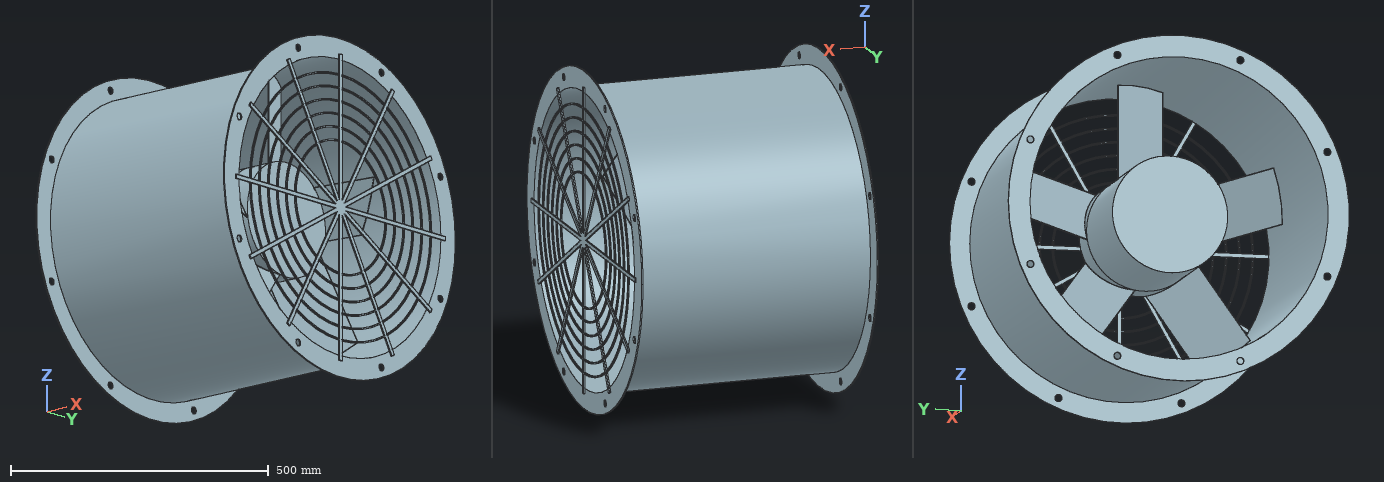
import cadquery as cq
import math


flange_radius = 340.0
casing_radius = 300.0
sheet_thickness = 3.0
casing_length = 485.5
bolt_circle_radius = 320.0
bolt_hole_diameter = 13.5
bolt_count = 8

motor_radius = 115.0
motor_inlet_gap = 73.5

blade_count = 5
blade_front_width = 104.0
blade_pitch = 30.0
blade_thickness = 2.0
blade_tip_radius = 293.0
impeller_start = 285.5

spoke_count = 12
spoke_width = 8.0
spoke_radius = 307.5
guard_thickness = 3.0
ring_count = 6
outer_ring_radius = 266.0
ring_spacing = 26.5
ring_width = 3.0

bore_radius = casing_radius - sheet_thickness
blade_chord = blade_front_width / math.cos(math.radians(blade_pitch))
impeller_depth = blade_chord * math.sin(math.radians(blade_pitch)) + blade_thickness
motor_length = impeller_start - motor_inlet_gap


def disc(start, length, radius):
    """Solid cylinder on the fan axis."""
    return cq.Workplane("YZ", origin=(start, 0, 0)).circle(radius).extrude(length)


def ring(start, length, outer_radius, inner_radius):
    """Flat ring or tube on the fan axis."""
    return cq.Workplane("YZ", origin=(start, 0, 0)).circle(outer_radius).circle(inner_radius).extrude(length)


def make_casing():
    """Sheet tube with a drilled flange at each end."""
    casing = ring(0, casing_length, casing_radius, bore_radius)
    for flange_start in (0, casing_length - sheet_thickness):
        casing = casing.union(ring(flange_start, sheet_thickness, flange_radius, bore_radius))
    half_step = 180 / bolt_count
    bolt_holes = (
        cq.Workplane("YZ")
        .polarArray(bolt_circle_radius, half_step, 360, bolt_count)
        .circle(bolt_hole_diameter / 2)
        .extrude(casing_length)
    )
    return casing.cut(bolt_holes)


def make_motor():
    """Plain cylinder in front of the impeller."""
    return disc(motor_inlet_gap, motor_length, motor_radius)


def make_impeller():
    """Hub with flat pitched blades, trimmed to a round tip outline."""
    impeller = disc(impeller_start, impeller_depth, motor_radius)
    blade = (
        cq.Workplane("XY")
        .box(blade_thickness, blade_chord, flange_radius, centered=(True, True, False))
        .rotate((0, 0, 0), (0, 0, 1), blade_pitch)
        .translate((impeller_start + impeller_depth / 2, 0, 0))
        .intersect(disc(0, casing_length, blade_tip_radius))
    )
    for i in range(blade_count):
        impeller = impeller.union(blade.rotate((0, 0, 0), (1, 0, 0), i * 360 / blade_count))
    return impeller


def make_guard():
    """Flat spokes and concentric rings lying on the outlet flange."""
    spoke = cq.Workplane("XY", origin=(casing_length, 0, 0)).box(
        guard_thickness, spoke_width, spoke_radius, centered=(False, True, False)
    )
    guard = spoke
    for i in range(1, spoke_count):
        guard = guard.union(spoke.rotate((0, 0, 0), (1, 0, 0), i * 360 / spoke_count))
    for i in range(ring_count):
        middle_radius = outer_ring_radius - i * ring_spacing
        outer_radius = middle_radius + ring_width / 2
        inner_radius = middle_radius - ring_width / 2
        guard = guard.union(ring(casing_length, guard_thickness, outer_radius, inner_radius))
    return guard


casing = make_casing()
motor = make_motor()
impeller = make_impeller()
guard = make_guard()

result = cq.Compound.makeCompound([casing.val(), motor.val(), impeller.val(), guard.val()])